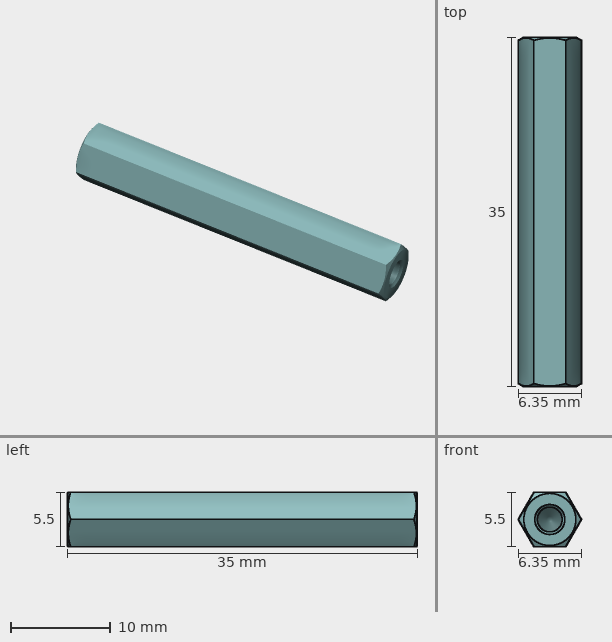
import cadquery as cq
import math

length = 35.0
across_flats = 5.5
across_corners = across_flats / math.cos(math.radians(30))

face_diameter = 5.2
chamfer_angle = 30.0
corner_clearance = 0.35

hole_diameter = 2.5
mouth_diameter = 3.0
mouth_depth = (mouth_diameter - hole_diameter) / 2
hole_depth = 10.0
drill_tip_angle = 118.0


def corner_chamfer_envelope():
    """Round bar with coned ends; it trims the corners of the hexagon."""
    face_radius = face_diameter / 2
    outer_radius = across_corners / 2 + corner_clearance
    cone_height = (outer_radius - face_radius) * math.tan(math.radians(chamfer_angle))
    profile = [
        (0, 0),
        (face_radius, 0),
        (outer_radius, cone_height),
        (outer_radius, length - cone_height),
        (face_radius, length),
        (0, length),
    ]
    return cq.Workplane("XY").polyline(profile).close().revolve(360, (0, 0), (0, 1))


def blind_hole():
    """Countersunk blind hole with a drill point, entering at Y = 0."""
    hole_radius = hole_diameter / 2
    tip_height = hole_radius / math.tan(math.radians(drill_tip_angle / 2))
    profile = [
        (0, 0),
        (mouth_diameter / 2, 0),
        (hole_radius, mouth_depth),
        (hole_radius, hole_depth),
        (0, hole_depth + tip_height),
    ]
    return cq.Workplane("XY").polyline(profile).close().revolve(360, (0, 0), (0, 1))


bar = cq.Workplane("XZ").polygon(6, across_corners).extrude(-length)
bar = bar.intersect(corner_chamfer_envelope())

front_hole = blind_hole()
back_hole = front_hole.mirror("XZ").translate((0, length, 0))

result = bar.cut(front_hole).cut(back_hole)